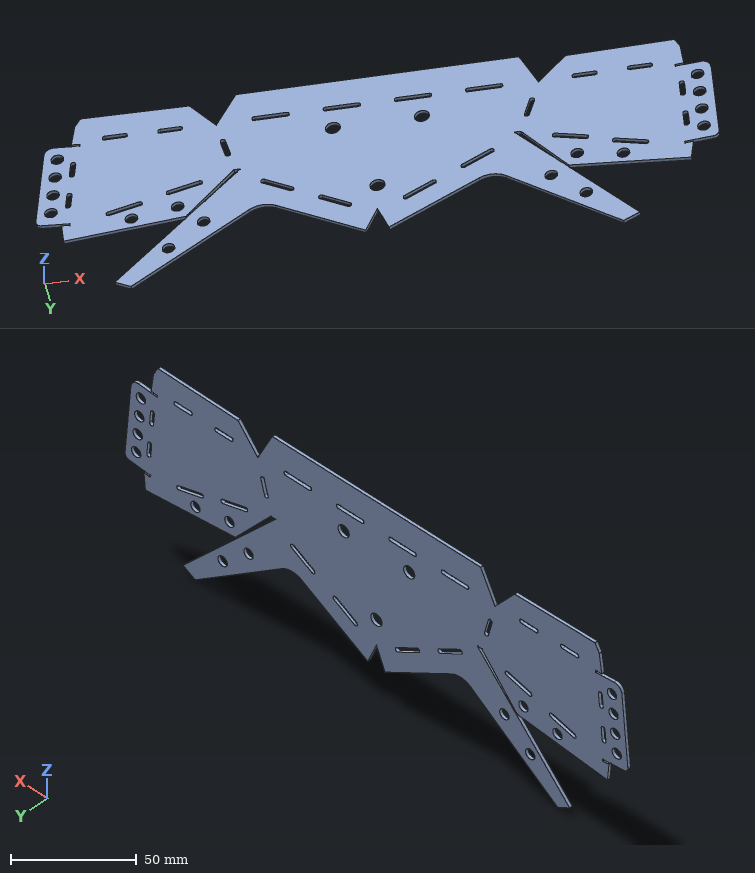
import cadquery as cq
import math

overall_width = 276.46
overall_height = 101.3
thickness = 1.65

top_half_width = 57.3
keel_notch_z = 25.5
keel_tip = (4.7, 14.15)
keel_angle = 30.0
armpit_radius = 10.0

arm_heel = (99.6, 0.0)
arm_toe = (106.3, 3.7)
arm_angle = 144.0

slit_top_z = 58.6
slit_arm_side = (55.5, slit_top_z)
slit_wing_side = (58.0, slit_top_z)
slit_mouth = (77.4, 35.75)

valley = (65.2, 85.45)
wing_shoulder = (76.0, 98.4)
wing_top_corner = (120.2, 99.3)
wing_chamfer_end = (122.5, 95.1)
wing_bottom_corner = (127.0, 30.9)

tab_tilt = 5.0
tab_length = 43.7
tab_depth = 14.2
tab_bottom_z = 41.6
tab_top_radius = 4.0
tab_bottom_radius = 2.5
relief_width = 0.9
relief_depth = 3.5

small_hole_diameter = 5.0
large_hole_diameter = 6.0
tab_hole_count = 4
tab_hole_pitch = 10.0
tab_hole_inset = 5.8
wing_holes = [(99.5, 38.65), (80.8, 41.95)]
arm_holes = [(70.3, 31.5), (84.5, 19.0)]
panel_hole = (18.0, 74.9)
centre_hole = (0.0, 39.0)

slot_width = 2.0
long_slot = 15.0
short_slot = 10.0
tab_slot = 8.0
tab_slot_count = 2
tab_slot_pitch = 17.4
tab_slot_inset = 12.5
top_slot_z = 86.2
panel_slots = [(14.4, top_slot_z), (43.2, top_slot_z)]
wing_top_slots = [(83.8, top_slot_z), (106.2, 86.5)]
wing_low_slots = [(78.1, 52.25), (102.4, 44.85)]
wing_low_slot_angle = -15.0
keel_slots = [(40.5, 46.7), (17.1, 33.3)]
valley_slot = (61.5, 71.85)
valley_slot_angle = 75.0


def shifted(point, angle, distance):
    """Point moved a distance along a direction."""
    turn = math.radians(angle)
    return (point[0] + distance * math.cos(turn), point[1] + distance * math.sin(turn))


def crossing(first, first_angle, second, second_angle):
    """Intersection of two lines, each given by a point and a direction."""
    turn = math.radians(second_angle)
    dx = second[0] - first[0]
    dz = second[1] - first[1]
    spread = math.radians(second_angle - first_angle)
    distance = (dx * math.sin(turn) - dz * math.cos(turn)) / math.sin(spread)
    return shifted(first, first_angle, distance)


tilt = math.radians(tab_tilt)
corner_overshoot = tab_bottom_radius * (math.cos(tilt) + math.sin(tilt) - 1)
tab_corner = (overall_width / 2 + corner_overshoot, tab_bottom_z)
up_tab_angle = 90.0 + tab_tilt

armpit = crossing(keel_tip, keel_angle, arm_heel, arm_angle)


def tab_point(inset, height):
    """Point on the tab, inset from its outer edge and raised from its lower edge."""
    return shifted(shifted(tab_corner, tab_tilt, -inset), up_tab_angle, height)


def centred_on_tab(count, pitch, inset):
    """Row of points along the tab, centred on its length."""
    first = (tab_length - (count - 1) * pitch) / 2
    return [tab_point(inset, first + i * pitch) for i in range(count)]


def round_corner(plate, corner, radius):
    """Round the outline corner nearest to a point."""
    place = (corner[0], thickness / 2, corner[1])
    return plate.edges(cq.selectors.NearestToPointSelector(place)).fillet(radius)


def half_outline():
    """Blank of the +X half with its three rounded corners."""
    tab_top_corner = tab_point(0, tab_length)
    relief_mouth = tab_depth - relief_depth
    points = [
        (0, keel_notch_z),
        keel_tip,
        armpit,
        arm_heel,
        arm_toe,
        slit_arm_side,
        slit_wing_side,
        slit_mouth,
        wing_bottom_corner,
        tab_point(relief_mouth, -relief_width),
        tab_point(tab_depth, -relief_width),
        tab_point(tab_depth, 0),
        tab_corner,
        tab_top_corner,
        tab_point(tab_depth, tab_length),
        tab_point(tab_depth, tab_length + relief_width),
        tab_point(relief_mouth, tab_length + relief_width),
        wing_chamfer_end,
        wing_top_corner,
        wing_shoulder,
        valley,
        (top_half_width, overall_height),
        (0, overall_height),
    ]
    plate = cq.Workplane("XZ").polyline(points).close().extrude(-thickness)
    plate = round_corner(plate, armpit, armpit_radius)
    plate = round_corner(plate, tab_corner, tab_bottom_radius)
    return round_corner(plate, tab_top_corner, tab_top_radius)


def cut_holes(plate, centres, diameter):
    drills = cq.Workplane("XZ").pushPoints(centres).circle(diameter / 2).extrude(-thickness)
    return plate.cut(drills)


def cut_slots(plate, centres, length, angle):
    cutters = cq.Workplane("XZ").pushPoints(centres).slot2D(length, slot_width, angle).extrude(-thickness)
    return plate.cut(cutters)


def half_plate():
    """The +X half with all its holes and slots."""
    tab_holes = centred_on_tab(tab_hole_count, tab_hole_pitch, tab_hole_inset)
    tab_slots = centred_on_tab(tab_slot_count, tab_slot_pitch, tab_slot_inset)

    plate = half_outline()
    plate = cut_holes(plate, tab_holes + wing_holes + arm_holes, small_hole_diameter)
    plate = cut_holes(plate, [panel_hole], large_hole_diameter)

    plate = cut_slots(plate, panel_slots, long_slot, 0)
    plate = cut_slots(plate, wing_top_slots, short_slot, 0)
    plate = cut_slots(plate, wing_low_slots, long_slot, wing_low_slot_angle)
    plate = cut_slots(plate, keel_slots, long_slot, keel_angle)
    plate = cut_slots(plate, [valley_slot], short_slot, valley_slot_angle)
    return cut_slots(plate, tab_slots, tab_slot, up_tab_angle)


half = half_plate()
whole = half.union(half.mirror("YZ"))
result = cut_holes(whole, [centre_hole], large_hole_diameter)